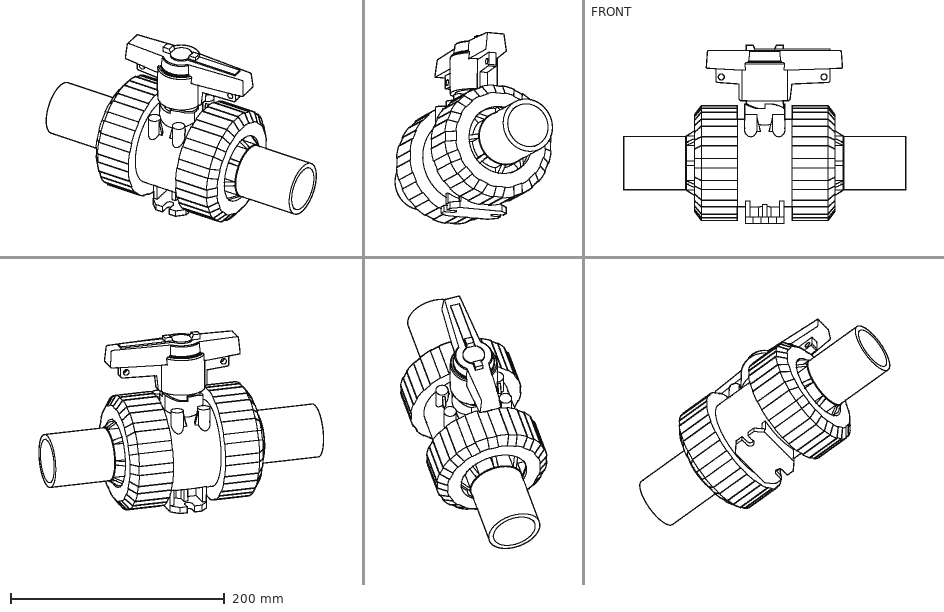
import cadquery as cq


body_radius = 41.0
body_half_length = 45.0
body_bore_radius = 20.0

stem_radius = 17.5
stem_top = 73.8

cam_radius = 20.3
cam_half_width = 18.8
cam_high = 55.2
cam_low = 51.2
cam_ramp_half_length = 7.0
cam_count = 4

post_radius = 5.8
post_x = 13.1
post_y = 27.0
post_top = 45.6
gusset_thickness = 2.6
gusset_foot_z = 28.0
gusset_foot_reach = 9.5
gusset_top_z = 43.0
side_gusset_x = 15.1

foot_length = 36.0
foot_width = 57.0
foot_bottom = -56.5
foot_thickness = 6.1
foot_corner = 7.2
foot_slot_width = 7.2
foot_slot_depth = 11.0
foot_leg_thickness = 4.0
foot_leg_width = 41.0
foot_rib_thickness = 4.0
foot_rib_width = 27.6
foot_boss_radius = 6.0

nut_radius = 53.99
nut_inner_x = 25.65
nut_outer_x = 65.7
nut_chamfer_length = 6.5
nut_face_radius = 45.6
nut_hole_radius = 32.0
nut_lip = 8.0
nut_groove_depth = 0.8
nut_groove_width = 9.0
nut_groove_count = 16

pipe_radius = 25.0
pipe_bore_radius = 20.4
pipe_end_x = 132.0
hub_radius = 25.4
hub_end_x = 74.0
hub_chamfer = 0.7
rib_thickness = 4.2
rib_count = 8
rib_full_x = 63.0

sleeve_radius = 22.0
sleeve_bottom = 58.2
sleeve_top = 94.2
sleeve_rim_radius = 21.1
sleeve_rim_drop = 1.6
cone_foot_radius = 19.6
cone_foot_height = 0.8
cone_base_radius = 18.9
cone_base_rise = 1.4
cone_top_radius = 17.7
cone_edge = 0.9

bar_top = 105.4
bar_bottom = 86.9
bar_end_bottom = 88.6
bar_left_x = -54.8
bar_right_x = 72.8
bar_end_draft = 1.2
bar_end_round = 1.8
bar_half_width_top = 11.4
bar_half_width_bottom = 13.7
bar_lower_round = 1.2
bar_narrowing = 0.057

sleeve_slot_width = 10.4
fin_thickness = 7.5
fin_left_x = -45.7
fin_right_x = 61.0
fin_end_bottom = 75.3
fin_end_corner = 1.2
fin_arm_bottom = 73.8
fin_leg_left_x = -24.3
fin_leg_right_top_x = 25.5
fin_leg_right_bottom_x = 23.8
fin_leg_corner = 1.5
fin_hole_diameter = 5.4
fin_hole_z = 80.5
fin_hole_xs = (-40.6, 55.4)

cap_radius = 10.2
cap_top = 106.8
strip_width = 8.6
strip_end_x = 61.0
stop_width = 7.3
stop_top = 110.37
stop_outer_x = 17.4
stop_inner_top_x = 10.9
stop_inner_base_x = 9.3


def x_cylinder(radius, start, end):
    return cq.Workplane("YZ").workplane(offset=start).circle(radius).extrude(end - start)


def z_cylinder(radius, bottom, top):
    return cq.Workplane("XY").workplane(offset=bottom).circle(radius).extrude(top - bottom)


def block(length, width, bottom, top):
    return cq.Workplane("XY").workplane(offset=bottom).rect(length, width).extrude(top - bottom)


def make_cam_collar():
    """Collar on the stem whose top drops along a ramp in each quadrant and steps up at the next."""
    cam_angle = 360 / cam_count
    reach = 2 * cam_radius
    ramp_profile = [
        (-reach, 0),
        (-reach, cam_high),
        (-cam_ramp_half_length, cam_high),
        (cam_ramp_half_length, cam_low),
        (reach, cam_low),
        (reach, 0),
    ]
    ramp = cq.Workplane("YZ").polyline(ramp_profile).close().extrude(reach)
    ramp = ramp.rotate((0, 0, 0), (0, 0, 1), cam_angle / 2)
    quadrant = cq.Workplane("XY").rect(cam_radius, cam_radius, centered=False).extrude(cam_high)
    cam = ramp.intersect(quadrant)
    collar = z_cylinder(stem_radius, 0, cam_low)
    for index in range(cam_count):
        collar = collar.union(cam.rotate((0, 0, 0), (0, 0, 1), index * cam_angle))
    collar = collar.intersect(z_cylinder(cam_radius, 0, cam_high))
    return collar.intersect(block(2 * cam_half_width, 2 * cam_radius, 0, cam_high))


def make_gusset():
    """Triangular web reaching from a post axis at the origin toward +X."""
    profile = [
        (0, gusset_foot_z),
        (gusset_foot_reach, gusset_foot_z),
        (post_radius, gusset_top_z),
        (0, gusset_top_z),
    ]
    web = cq.Workplane("XZ").polyline(profile).close()
    return web.extrude(gusset_thickness / 2, both=True)


def make_post():
    """Post in the +X, +Y corner, with one gusset toward -X and one toward -Y."""
    post = z_cylinder(post_radius, 0, post_top).translate((post_x, post_y, 0))
    gusset = make_gusset()
    inward = gusset.rotate((0, 0, 0), (0, 0, 1), 180).translate((post_x, post_y, 0))
    sideways = gusset.rotate((0, 0, 0), (0, 0, 1), -90).translate((side_gusset_x, post_y, 0))
    return post.union(inward).union(sideways)


def make_foot():
    """Slotted base plate carried by two legs, a web, a cross rib and a boss."""
    plate_top = foot_bottom + foot_thickness
    plate = block(foot_length, foot_width, foot_bottom, plate_top)
    plate = plate.edges("|Z").chamfer(foot_corner)
    slot_length = 2 * foot_slot_depth
    for side in (-1, 1):
        slot = (
            cq.Workplane("XY")
            .workplane(offset=foot_bottom)
            .center(0, side * foot_width / 2)
            .slot2D(slot_length, foot_slot_width, 90)
            .extrude(foot_thickness)
        )
        mouth = block(foot_slot_width, foot_slot_width, foot_bottom, plate_top)
        plate = plate.cut(slot).cut(mouth.translate((0, side * foot_width / 2, 0)))
    foot = plate.union(z_cylinder(foot_boss_radius, plate_top, 0))
    foot = foot.union(block(foot_length, foot_rib_thickness, plate_top, 0))
    foot = foot.union(block(foot_rib_thickness, foot_rib_width, plate_top, 0))
    leg_x = (foot_length - foot_leg_thickness) / 2
    for side in (-1, 1):
        leg = block(foot_leg_thickness, foot_leg_width, plate_top, 0)
        foot = foot.union(leg.translate((side * leg_x, 0, 0)))
    return foot


def make_valve_body():
    body = x_cylinder(body_radius, -body_half_length, body_half_length)
    body = body.union(z_cylinder(stem_radius, 0, stem_top))
    body = body.union(make_cam_collar())
    post = make_post()
    post_pair = post.union(post.mirror("YZ"))
    body = body.union(post_pair).union(post_pair.mirror("XZ"))
    body = body.union(make_foot())
    return body.cut(x_cylinder(body_bore_radius, -body_half_length, body_half_length))


def make_nut():
    """Nut on the +X side, with flat-bottomed grip grooves around it."""
    chamfer_x = nut_outer_x - nut_chamfer_length
    lip_x = nut_outer_x - nut_lip
    section = [
        (nut_inner_x, body_radius),
        (nut_inner_x, nut_radius),
        (chamfer_x, nut_radius),
        (nut_outer_x, nut_face_radius),
        (nut_outer_x, nut_hole_radius),
        (lip_x, nut_hole_radius),
        (lip_x, body_radius),
    ]
    nut = cq.Workplane("XZ").polyline(section).close().revolve(360, (0, 0, 0), (1, 0, 0))
    clear_radius = nut_radius + nut_groove_depth
    groove_section = [
        (nut_inner_x, clear_radius),
        (nut_inner_x, nut_radius - nut_groove_depth),
        (chamfer_x, nut_radius - nut_groove_depth),
        (nut_outer_x, nut_face_radius - nut_groove_depth),
        (nut_outer_x, clear_radius),
    ]
    groove = cq.Workplane("XZ").polyline(groove_section).close()
    groove = groove.extrude(nut_groove_width / 2, both=True)
    for index in range(nut_groove_count):
        nut = nut.cut(groove.rotate((0, 0, 0), (1, 0, 0), index * 360 / nut_groove_count))
    return nut


def make_connector():
    """Pipe end on the +X side: a flange held by the nut, a ribbed hub and a plain spigot."""
    flange_x = nut_outer_x - nut_lip
    hub_edge_x = hub_end_x - hub_chamfer
    section = [
        (body_half_length, pipe_bore_radius),
        (body_half_length, body_radius),
        (flange_x, body_radius),
        (flange_x, hub_radius),
        (hub_edge_x, hub_radius),
        (hub_end_x, pipe_radius),
        (pipe_end_x, pipe_radius),
        (pipe_end_x, pipe_bore_radius),
    ]
    connector = cq.Workplane("XZ").polyline(section).close().revolve(360, (0, 0, 0), (1, 0, 0))
    mid_wall = (pipe_bore_radius + pipe_radius) / 2
    rib_section = [
        (flange_x, mid_wall),
        (flange_x, nut_hole_radius),
        (rib_full_x, nut_hole_radius),
        (hub_edge_x, hub_radius),
        (hub_edge_x, mid_wall),
    ]
    rib = cq.Workplane("XZ").polyline(rib_section).close().extrude(rib_thickness / 2, both=True)
    rib = rib.intersect(x_cylinder(nut_hole_radius, flange_x, hub_end_x))
    for index in range(rib_count):
        connector = connector.union(rib.rotate((0, 0, 0), (1, 0, 0), index * 360 / rib_count))
    return connector


def bar_outline(center_half_width):
    left_half_width = center_half_width + bar_narrowing * bar_left_x
    right_half_width = center_half_width - bar_narrowing * bar_right_x
    return [
        (bar_left_x, -left_half_width),
        (0, -center_half_width),
        (bar_right_x, -right_half_width),
        (bar_right_x, right_half_width),
        (0, center_half_width),
        (bar_left_x, left_half_width),
    ]


def make_bar():
    """Grip bar: drafted sides, sloping ends with rounded edges, underside rising to the ends."""
    sides = (
        cq.Workplane("XY")
        .workplane(offset=bar_bottom)
        .polyline(bar_outline(bar_half_width_bottom))
        .close()
        .workplane(offset=bar_top - bar_bottom)
        .polyline(bar_outline(bar_half_width_top))
        .close()
        .loft(ruled=True)
    )
    side_view = [
        (bar_left_x, bar_end_bottom),
        (-sleeve_radius, bar_bottom),
        (sleeve_radius, bar_bottom),
        (bar_right_x, bar_end_bottom),
        (bar_right_x - bar_end_draft, bar_top),
        (bar_left_x + bar_end_draft, bar_top),
    ]
    envelope = cq.Workplane("XZ").polyline(side_view).close()
    envelope = envelope.extrude(bar_half_width_bottom, both=True)
    envelope = envelope.edges("|Y and >Z").fillet(bar_end_round)
    for end in ("<X", ">X"):
        envelope = envelope.edges("|Y").edges(end).fillet(bar_lower_round)
    return sides.intersect(envelope)


def make_sleeve():
    """Sleeve over the stem, narrowing to a cone that carries the bar."""
    section = [
        (0, sleeve_bottom),
        (sleeve_radius, sleeve_bottom),
        (sleeve_radius, sleeve_top - sleeve_rim_drop),
        (sleeve_rim_radius, sleeve_top),
        (cone_foot_radius, sleeve_top),
        (cone_foot_radius, sleeve_top + cone_foot_height),
        (cone_base_radius, sleeve_top + cone_base_rise),
        (cone_top_radius, bar_top - cone_edge),
        (cone_top_radius - cone_edge, bar_top),
        (0, bar_top),
    ]
    sleeve = cq.Workplane("XZ").polyline(section).close().revolve(360, (0, 0, 0), (0, 1, 0))
    sleeve = sleeve.cut(z_cylinder(stem_radius, sleeve_bottom, bar_bottom))
    return sleeve.cut(block(3 * sleeve_radius, sleeve_slot_width, sleeve_bottom, bar_bottom))


def make_fin():
    """Upright plate below the bar, with two legs beside the stem and a hole near each end."""
    profile = [
        (fin_left_x, bar_end_bottom),
        (fin_left_x, fin_end_bottom + fin_end_corner),
        (fin_left_x + fin_end_corner, fin_end_bottom),
        (fin_leg_left_x, fin_arm_bottom),
        (fin_leg_left_x, sleeve_bottom + fin_leg_corner),
        (fin_leg_left_x + fin_leg_corner, sleeve_bottom),
        (fin_leg_right_bottom_x - fin_leg_corner, sleeve_bottom),
        (fin_leg_right_bottom_x, sleeve_bottom + fin_leg_corner),
        (fin_leg_right_top_x, fin_arm_bottom),
        (fin_right_x - fin_end_corner, fin_end_bottom),
        (fin_right_x, fin_end_bottom + fin_end_corner),
        (fin_right_x, bar_end_bottom),
    ]
    fin = cq.Workplane("XZ").polyline(profile).close().extrude(fin_thickness / 2, both=True)
    hole_points = [(x, fin_hole_z) for x in fin_hole_xs]
    holes = cq.Workplane("XZ").pushPoints(hole_points).circle(fin_hole_diameter / 2)
    fin = fin.cut(holes.extrude(fin_thickness, both=True))
    return fin.cut(z_cylinder(stem_radius, sleeve_bottom, stem_top))


def make_stop():
    """Small raised block at the +X edge of the cap."""
    profile = [
        (stop_outer_x, bar_top),
        (stop_outer_x, stop_top),
        (stop_inner_top_x, stop_top),
        (stop_inner_base_x, cap_top),
        (stop_inner_base_x, bar_top),
    ]
    return cq.Workplane("XZ").polyline(profile).close().extrude(stop_width / 2, both=True)


def make_handle():
    handle = make_sleeve().union(make_bar()).union(make_fin())
    handle = handle.union(z_cylinder(cap_radius, bar_top, cap_top))
    strip = block(strip_end_x, strip_width, bar_top, cap_top)
    handle = handle.union(strip.translate((strip_end_x / 2, 0, 0)))
    stop = make_stop()
    return handle.union(stop).union(stop.mirror("YZ"))


valve_body = make_valve_body()
nut = make_nut()
nuts = [nut, nut.mirror("YZ")]
connector = make_connector()
connectors = [connector, connector.mirror("YZ")]
handle = make_handle()

result = cq.Compound.makeCompound(
    [
        valve_body.val(),
        *[each.val() for each in nuts],
        *[each.val() for each in connectors],
        handle.val(),
    ]
)